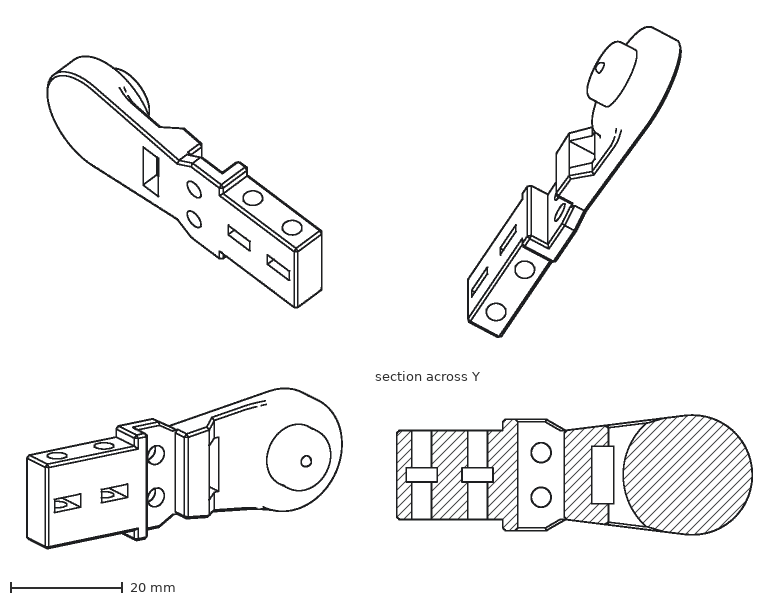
import cadquery as cq
import math


disc_radius = 10.75
disc_height = 6.5
boss_diameter = 11.5
boss_height = 10.5
rim_fillet = 1.0
pin_radius = 1.0
cove_radius = 2.0

notch_x = 22.75
neck_half_width = 8.0
shoulder_half_width = 10.0
shoulder_angle = 30.0
shoulder_end_x = 34.0
tail_half_width = 8.0
tail_end_x = 53.0

neck_height = 3.5
lug_height = 6.5
lug_start_x = 18.0
lug_end_x = 23.0
pocket_floor = 3.0
pocket_end_x = 31.25
tail_height = 7.0
edge_chamfer = 0.5

window_start_x = 14.1
window_end_x = 18.0
window_width = 10.25
hole_diameter = 3.5
plate_hole_x = 27.1
plate_hole_spacing = 8.0
tail_hole_positions = (38.5, 48.5)
tail_hole_y = tail_height / 2
tail_slot_length = 5.5
tail_slot_width = 2.5

notch_distance = math.hypot(notch_x, neck_half_width)
tangent_angle = math.atan2(neck_half_width, notch_x) + math.acos(disc_radius / notch_distance)
tangent_x = disc_radius * math.cos(tangent_angle)
tangent_z = disc_radius * math.sin(tangent_angle)
flank_slope = (neck_half_width - tangent_z) / (notch_x - tangent_x)

shoulder_rise = shoulder_half_width - neck_half_width
shoulder_start_x = notch_x + shoulder_rise / math.tan(math.radians(shoulder_angle))
shoulder_middle_x = (pocket_end_x + shoulder_end_x) / 2

joint_y = pocket_floor
cove_outer_radius = disc_radius + cove_radius
cove_top = neck_height + cove_radius


def flank_half_width(x):
    """Half width of the neck at a given X."""
    return neck_half_width + flank_slope * (x - notch_x)


def base_plate():
    """Plate under the disc, neck and pocket, chamfered in front and around the shoulder."""
    upper = [
        (notch_x, neck_half_width),
        (shoulder_start_x, shoulder_half_width),
        (shoulder_middle_x, shoulder_half_width),
    ]
    lower = [(x, -z) for x, z in reversed(upper)]
    outline = cq.Workplane("XZ").moveTo(tangent_x, tangent_z)
    for x, z in upper + lower:
        outline = outline.lineTo(x, z)
    outline = outline.lineTo(tangent_x, -tangent_z)
    outline = outline.threePointArc((-disc_radius, 0), (tangent_x, tangent_z)).close()
    plate = outline.extrude(-pocket_floor)
    shoulder_zone = cq.selectors.BoxSelector(
        (notch_x, 0, -disc_radius),
        (shoulder_end_x, tail_height, disc_radius),
    )
    plate = plate.faces("<Y").edges().chamfer(edge_chamfer)
    return plate.faces(">Y").edges(shoulder_zone).chamfer(edge_chamfer)


def neck_prism(start_x, end_x, height):
    """Prism between the two neck flanks."""
    start_z = flank_half_width(start_x)
    end_z = flank_half_width(end_x)
    corners = [(start_x, start_z), (end_x, end_z), (end_x, -end_z), (start_x, -start_z)]
    return cq.Workplane("XZ").polyline(corners).close().extrude(-height)


def neck():
    """Raised neck from the disc into the lug."""
    return neck_prism(tangent_x, lug_start_x, neck_height).edges().chamfer(edge_chamfer)


def lug():
    """Lug across the end of the neck, with a 45 degree ramp facing the disc."""
    foot_x = lug_start_x - lug_height
    ramp = (
        cq.Workplane("XY")
        .moveTo(foot_x, 0)
        .lineTo(lug_start_x, lug_height)
        .lineTo(foot_x, lug_height)
        .close()
        .extrude(disc_radius, both=True)
    )
    block = neck_prism(foot_x, lug_end_x, lug_height).cut(ramp)
    sides = block.faces("<Z or >Z").edges()
    return sides.add(block.faces(">X").edges("|Z")).chamfer(edge_chamfer)


def chamfered_block(start_x, end_x, half_width):
    """Tail-high block with every edge chamfered."""
    block = cq.Workplane("XY").box(end_x - start_x, tail_height, 2 * half_width, centered=(False, False, True))
    return block.edges().chamfer(edge_chamfer).translate((start_x, 0, 0))


def disc():
    """Disc with a rounded rim."""
    body = cq.Workplane("XZ", origin=(0, joint_y, 0)).circle(disc_radius).extrude(joint_y - disc_height)
    return body.faces(">Y").edges().fillet(rim_fillet)


def cove_height(radius):
    """Height of the cove surface at a distance from the disc axis."""
    inside = min(max(cove_outer_radius - radius, 0), cove_radius)
    return cove_top - math.sqrt(cove_radius**2 - inside**2)


def cove_chamfer_cutter():
    """Cutter for the chamfer where the cove runs out on the upper flank.

    Each section lies square to the flank and joins a point on the flank, one chamfer below
    the cove's edge, to a point on the cove. The chamfer narrows as the cove gets steeper.
    """
    inner_reach = disc_radius - edge_chamfer
    length = math.sqrt(cove_outer_radius**2 - inner_reach**2)
    flank_direction = cq.Vector(math.sin(tangent_angle), 0, -math.cos(tangent_angle))
    section_count = 10
    sections = []
    for index in range(section_count):
        along = length * index / (section_count - 1)
        edge_radius = math.hypot(disc_radius, along)
        edge_y = cove_height(edge_radius)
        depth = edge_chamfer * min((cove_top - edge_y) / cove_radius, 1)
        low_y = edge_y - edge_chamfer
        high_y = cove_height(math.hypot(disc_radius - depth, along))
        corners = [
            (0, low_y),
            (-depth, high_y),
            (-depth, tail_height),
            (cove_radius, tail_height),
            (cove_radius, low_y),
        ]
        origin = cq.Vector(tangent_x, 0, tangent_z) + flank_direction * along
        plane = cq.Plane(
            origin=origin,
            xDir=(math.cos(tangent_angle), 0, math.sin(tangent_angle)),
            normal=-flank_direction,
        )
        sections.append(cq.Workplane(plane).polyline(corners).close().val())
    return cq.Workplane(cq.Solid.makeLoft(sections))


def cove():
    """Concave flare from the disc wall down onto the neck, trimmed by the flanks."""
    bend = cove_radius * math.sqrt(0.5)
    flare = (
        cq.Workplane("XY")
        .moveTo(0, joint_y)
        .lineTo(-cove_outer_radius, joint_y)
        .lineTo(-cove_outer_radius, neck_height)
        .threePointArc((bend - cove_outer_radius, cove_top - bend), (-disc_radius, cove_top))
        .lineTo(0, cove_top)
        .close()
        .revolve(360, (0, 0, 0), (0, 1, 0))
    )
    wedge = (
        cq.Workplane("XZ")
        .lineTo(tangent_x, tangent_z)
        .lineTo(notch_x, neck_half_width)
        .lineTo(notch_x, -neck_half_width)
        .lineTo(tangent_x, -tangent_z)
        .close()
        .extrude(-tail_height)
    )
    cutter = cove_chamfer_cutter()
    return flare.intersect(wedge).cut(cutter).cut(cutter.mirror("XY"))


def boss():
    """Round boss on the disc, with a domed pin at its centre."""
    post = cq.Workplane("XZ", origin=(0, joint_y, 0)).circle(boss_diameter / 2).extrude(joint_y - boss_height)
    post = post.faces(">Y").edges().fillet(rim_fillet)
    pin = cq.Workplane("XY").sphere(pin_radius).rotate((0, 0, 0), (1, 0, 0), -90).translate((0, boss_height, 0))
    return post.union(pin)


def through_box(start_x, end_x, width):
    """Rectangular cutter through the whole thickness."""
    middle_x = (start_x + end_x) / 2
    return cq.Workplane("XZ").center(middle_x, 0).rect(end_x - start_x, width).extrude(-tail_height)


def openings():
    """Window, plate holes, tail slots and the tail's cross holes."""
    cutters = through_box(window_start_x, window_end_x, window_width)
    plate_holes = (
        cq.Workplane("XZ")
        .center(plate_hole_x, 0)
        .rarray(1, plate_hole_spacing, 1, 2)
        .circle(hole_diameter / 2)
        .extrude(-tail_height)
    )
    cutters = cutters.union(plate_holes)
    for x in tail_hole_positions:
        slot = through_box(x - tail_slot_length / 2, x + tail_slot_length / 2, tail_slot_width)
        cross_hole = (
            cq.Workplane("XY")
            .center(x, tail_hole_y)
            .circle(hole_diameter / 2)
            .extrude(tail_half_width, both=True)
        )
        cutters = cutters.union(slot).union(cross_hole)
    return cutters


shoulder_block = chamfered_block(pocket_end_x, shoulder_end_x, shoulder_half_width)
tail_block = chamfered_block(pocket_end_x, tail_end_x, tail_half_width)

result = base_plate()
for piece in (neck(), lug(), shoulder_block, tail_block, cove(), disc(), boss()):
    result = result.union(piece)
result = result.clean().cut(openings())